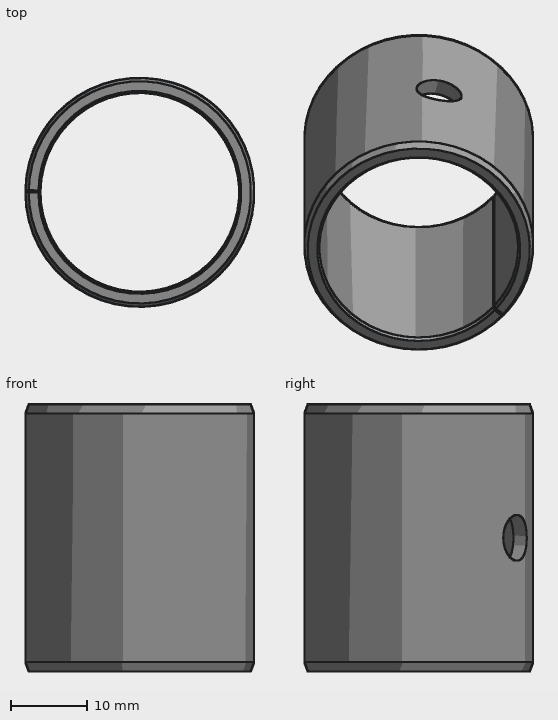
import cadquery as cq

length = 35.0
outer_diameter = 30.0
bore_diameter = 26.0
outer_chamfer_height = 1.22
outer_chamfer_width = 0.45
bore_chamfer_width = 0.28
bore_chamfer_height = 0.5
joint_gap_angle = 1
cross_hole_diameter = 6.0
cross_hole_height = length / 2
cross_hole_angle = 59

outer_radius = outer_diameter / 2
bore_radius = bore_diameter / 2


def bushing_body():
    """Revolve the wall section, with chamfers at both ends of each face."""
    end_outer_radius = outer_radius - outer_chamfer_width
    end_bore_radius = bore_radius + bore_chamfer_width
    section = [
        (end_bore_radius, 0),
        (end_outer_radius, 0),
        (outer_radius, outer_chamfer_height),
        (outer_radius, length - outer_chamfer_height),
        (end_outer_radius, length),
        (end_bore_radius, length),
        (bore_radius, length - bore_chamfer_height),
        (bore_radius, bore_chamfer_height),
    ]
    wall = cq.Workplane("XZ").polyline(section).close()
    ring = wall.revolve(360 - joint_gap_angle, (0, 0, 0), (0, -1, 0))
    return ring.rotate((0, 0, 0), (0, 0, 1), 180 - joint_gap_angle)


def cross_hole():
    """Radial hole through one side of the wall."""
    return (
        cq.Workplane("YZ")
        .center(0, cross_hole_height)
        .circle(cross_hole_diameter / 2)
        .extrude(outer_diameter)
        .rotate((0, 0, 0), (0, 0, 1), cross_hole_angle)
    )


result = bushing_body().cut(cross_hole())